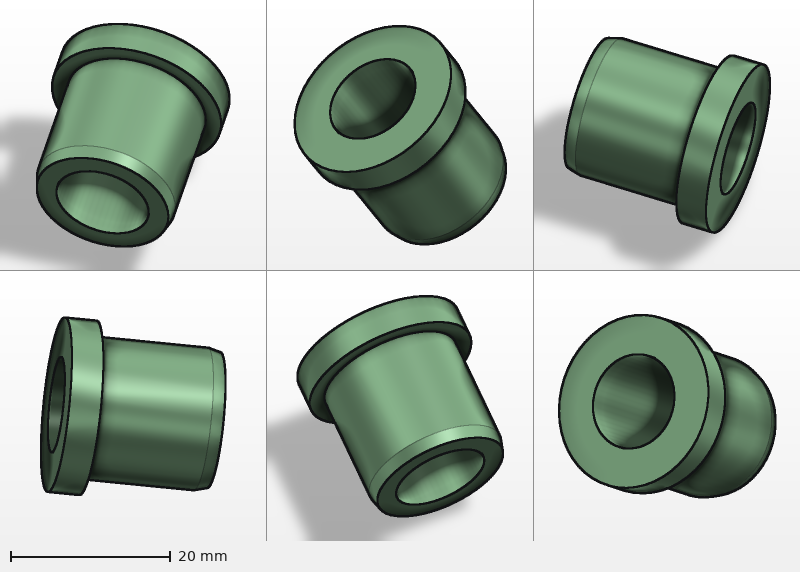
import cadquery as cq
import math

flange_diameter = 22.0
flange_thickness = 4.0
body_diameter = 18.0
bore_diameter = 12.0
total_length = 20.0

taper_angle = 15.0
taper_depth = 0.45
taper_length = taper_depth / math.tan(math.radians(taper_angle))

flange_radius = flange_diameter / 2
body_radius = body_diameter / 2
bore_radius = bore_diameter / 2
flange_front = total_length - flange_thickness

half_section = (
    cq.Workplane("XY")
    .moveTo(bore_radius, 0)
    .lineTo(body_radius - taper_depth, 0)
    .lineTo(body_radius, taper_length)
    .lineTo(body_radius, flange_front)
    .lineTo(flange_radius, flange_front)
    .lineTo(flange_radius, total_length)
    .lineTo(bore_radius, total_length)
    .close()
)

result = half_section.revolve(360, (0, 0, 0), (0, 1, 0))